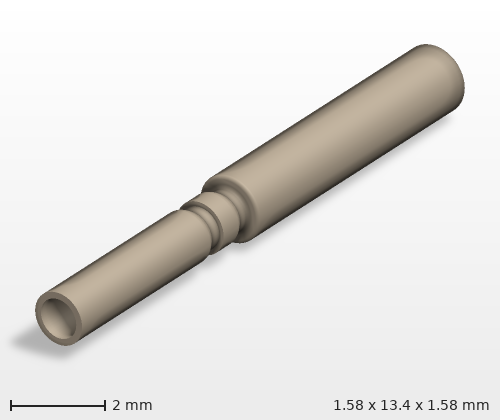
import cadquery as cq
import math

total_length = 13.36
body_diameter = 1.58
tube_diameter = 1.24
groove_diameter = 1.02
bore_diameter = 0.94

tube_end = 4.74
collar_start = 5.0
collar_end = 5.73
body_start = 6.0

body_front_round = 0.08
body_rear_round = 0.12
bevel_angle = 30
bevel_height = (tube_diameter - groove_diameter) / 2
bevel_length = bevel_height / math.tan(math.radians(bevel_angle))
bevel_round = 0.2
edge_search_margin = 0.01
neck_fillet = 0.08

bore_depth = 4.14
bore_tip_length = 0.27
side_hole_diameter = 0.56
side_hole_y = 3.26


def cylinder(diameter, start, end):
    """Solid cylinder on the Y axis between two stations."""
    plane = cq.Workplane("XZ", origin=(0, start, 0))
    return plane.circle(diameter / 2).extrude(start - end)


def bevelled_cylinder(start, end):
    """Tube-diameter cylinder with a softened bevel at its +Y end."""
    blank = cylinder(tube_diameter, start, end)
    bevelled = blank.faces(">Y").edges().chamfer(bevel_length, bevel_height)
    bevel_edge = cq.selectors.BoxSelector(
        (-tube_diameter, end - bevel_length - edge_search_margin, -tube_diameter),
        (tube_diameter, end - bevel_length + edge_search_margin, tube_diameter),
    )
    return bevelled.edges("%CIRCLE").edges(bevel_edge).fillet(bevel_round)


def make_body():
    """Wide rear barrel with rounded end edges."""
    body = cylinder(body_diameter, body_start, total_length)
    body = body.faces("<Y").edges().fillet(body_front_round)
    return body.faces(">Y").edges().fillet(body_rear_round)


def make_neck():
    """Core of the two grooves, flared where it meets the barrel."""
    core = cylinder(groove_diameter, tube_end, body_start)
    flare_radius = groove_diameter / 2 + neck_fillet
    flare = (
        cq.Workplane("XY")
        .moveTo(0, body_start - neck_fillet)
        .lineTo(groove_diameter / 2, body_start - neck_fillet)
        .radiusArc((flare_radius, body_start), neck_fillet)
        .lineTo(0, body_start)
        .close()
        .revolve(360, (0, 0, 0), (0, 1, 0))
    )
    return core.union(flare)


def make_bore():
    """Blind bore with a conical drill-point bottom."""
    radius = bore_diameter / 2
    return (
        cq.Workplane("XY")
        .polyline([(0, 0), (radius, 0), (radius, bore_depth), (0, bore_depth + bore_tip_length)])
        .close()
        .revolve(360, (0, 0, 0), (0, 1, 0))
    )


def make_side_hole():
    """Hole through the -X wall of the tube into the bore."""
    plane = cq.Workplane("YZ", origin=(0, side_hole_y, 0))
    return plane.circle(side_hole_diameter / 2).extrude(-tube_diameter)


tube = bevelled_cylinder(0, tube_end)
collar = bevelled_cylinder(collar_start, collar_end)
result = (
    tube.union(make_neck())
    .union(collar)
    .union(make_body())
    .cut(make_bore())
    .cut(make_side_hole())
)